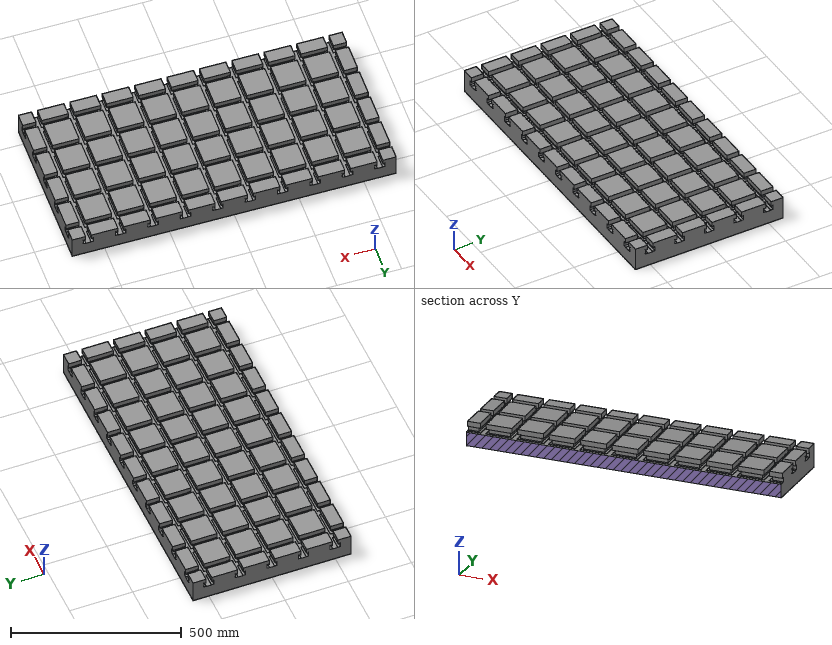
import cadquery as cq

PLATE_LENGTH = 1000.0
PLATE_WIDTH = 500.0
PLATE_HEIGHT = 75.0

SLOT_PITCH = 100.0

NECK_WIDTH = 18.0
HEAD_WIDTH = 32.0
HEAD_HEIGHT = 14.0
SLOT_DEPTH = 30.0

RELIEF_WIDTH = 16.0
RELIEF_DEPTH = 1.0


def slot_positions(span):
    """Slot centrelines evenly spaced across a side of the plate."""
    count = int(span / SLOT_PITCH)
    first = -(count - 1) * SLOT_PITCH / 2
    return [first + index * SLOT_PITCH for index in range(count)]


def slot_cutter(plane, length, position):
    """T-shaped bar with a relief rib underneath, running the full length of a slot."""
    neck = NECK_WIDTH / 2
    head = HEAD_WIDTH / 2
    relief = RELIEF_WIDTH / 2
    floor_z = PLATE_HEIGHT - SLOT_DEPTH
    relief_z = floor_z - RELIEF_DEPTH
    shoulder_z = floor_z + HEAD_HEIGHT
    outline = [
        (-head, floor_z),
        (-relief, floor_z),
        (-relief, relief_z),
        (relief, relief_z),
        (relief, floor_z),
        (head, floor_z),
        (head, shoulder_z),
        (neck, shoulder_z),
        (neck, PLATE_HEIGHT),
        (-neck, PLATE_HEIGHT),
        (-neck, shoulder_z),
        (-head, shoulder_z),
    ]
    section = cq.Workplane(plane).center(position, 0).polyline(outline).close()
    return section.extrude(length / 2, both=True)


def make_plate():
    """Solid rectangular plate."""
    return cq.Workplane("XY").box(PLATE_LENGTH, PLATE_WIDTH, PLATE_HEIGHT, centered=(True, True, False))


def cut_slots(plate):
    """Cut the slots that run along Y, then the crossing slots that run along X."""
    for x in slot_positions(PLATE_LENGTH):
        plate = plate.cut(slot_cutter("XZ", PLATE_WIDTH, x))
    for y in slot_positions(PLATE_WIDTH):
        plate = plate.cut(slot_cutter("YZ", PLATE_LENGTH, y))
    return plate


result = cut_slots(make_plate())